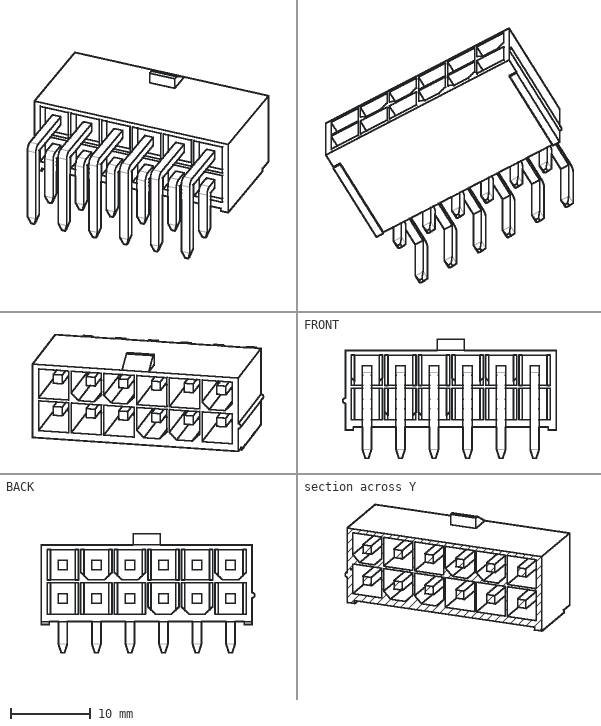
import cadquery as cq


PITCH = 4.2
COLUMNS = 6
CELL_WIDTH = 3.87
LOWER_CELL_HEIGHT = 3.9
UPPER_CELL_HEIGHT = 3.8
SHELF = 0.37

RIB_RADIUS = 0.32
RIB_Z = 3.7
BODY_WIDTH = 26.72 - RIB_RADIUS
BODY_DEPTH = 12.8
FOOT_HEIGHT = 0.37
FOOT_WIDTH = 1.02
FOOT_SETBACK = 1.87
FLOOR = 0.95
ROOF = 0.6
LOWER_CELL_Z = FOOT_HEIGHT + FLOOR
UPPER_CELL_Z = LOWER_CELL_Z + LOWER_CELL_HEIGHT + SHELF
BODY_HEIGHT = UPPER_CELL_Z + UPPER_CELL_HEIGHT + ROOF

BLOCK_WIDTH = 3.13
BLOCK_RECESS = 0.8
BLOCK_LENGTH = 2.95

KEY_BEVEL = 0.94
LOWER_KEYED_COLUMNS = (1, 2)
UPPER_KEYED_COLUMNS = (0, 3, 4)

LATCH_WIDTH = 3.42
LATCH_LENGTH = 3.02
LATCH_HEIGHT = 1.4
LATCH_FLAT = 0.55

PIN_SIZE = 1.15
PIN_BEND_RADIUS = 0.8
PIN_TIP_LENGTH = 1.12
PIN_TIP_SIZE = 0.43
PIN_DROP = 3.53
PIN_MATING_SETBACK = 2.4
LOWER_PIN_REACH = 1.7
UPPER_PIN_REACH = 7.15
LOWER_PIN_Z = LOWER_CELL_Z + LOWER_CELL_HEIGHT / 2
UPPER_PIN_Z = LOWER_PIN_Z + PITCH

COLUMN_X = [(i - (COLUMNS - 1) / 2) * PITCH for i in range(COLUMNS)]


def box(x_center, width, y_start, y_end, z_start, z_end):
    """Box centred on x_center, spanning the given Y and Z ranges."""
    return cq.Workplane("XY").box(
        width, y_end - y_start, z_end - z_start, centered=(True, False, False)
    ).translate((x_center, y_start, z_start))


def housing_shell():
    """Solid housing with two feet below and a half-round rib along the -X side."""
    shell = box(0, BODY_WIDTH, 0, BODY_DEPTH, FOOT_HEIGHT, BODY_HEIGHT)
    foot_x = (BODY_WIDTH - FOOT_WIDTH) / 2
    for x in (-foot_x, foot_x):
        shell = shell.union(box(x, FOOT_WIDTH, 0, BODY_DEPTH - FOOT_SETBACK, 0, FOOT_HEIGHT))
    rib = (
        cq.Workplane("XZ")
        .center(-BODY_WIDTH / 2, RIB_Z)
        .circle(RIB_RADIUS)
        .extrude(-BODY_DEPTH)
    )
    return shell.union(rib)


def latch():
    """Wedge rising from the mating face to a narrow flat and a square back."""
    profile = [
        (BODY_DEPTH, BODY_HEIGHT),
        (BODY_DEPTH - LATCH_LENGTH + LATCH_FLAT, BODY_HEIGHT + LATCH_HEIGHT),
        (BODY_DEPTH - LATCH_LENGTH, BODY_HEIGHT + LATCH_HEIGHT),
        (BODY_DEPTH - LATCH_LENGTH, BODY_HEIGHT),
    ]
    return cq.Workplane("YZ").polyline(profile).close().extrude(LATCH_WIDTH / 2, both=True)


def cell_cavity(x, z, height, keyed):
    """Through opening of one cell, less the pin block and any bevelled corners."""
    block_end = BLOCK_RECESS + BLOCK_LENGTH
    rear = box(x, CELL_WIDTH, 0, block_end, z, z + height)
    block = box(x, BLOCK_WIDTH, BLOCK_RECESS, block_end, z, z + height)
    socket = box(x, CELL_WIDTH, block_end, BODY_DEPTH, z, z + height)
    if keyed:
        socket = socket.edges("|Y and <Z").chamfer(KEY_BEVEL)
    return rear.cut(block).union(socket)


def pin(x, z, reach):
    """Square pin: level through the block, bent down behind the housing, with a tapered tip."""
    half = PIN_SIZE / 2
    shoulder_z = PIN_TIP_LENGTH - PIN_DROP
    level = box(x, PIN_SIZE, -reach, BODY_DEPTH - PIN_MATING_SETBACK, z - half, z + half)
    leg = box(x, PIN_SIZE, -reach, PIN_SIZE - reach, shoulder_z, z + half)
    bent = level.union(leg).edges("|X and <Y and >Z").fillet(PIN_BEND_RADIUS)
    tip = (
        cq.Workplane("XY", origin=(x, half - reach, shoulder_z))
        .rect(PIN_SIZE, PIN_SIZE)
        .workplane(offset=-PIN_TIP_LENGTH)
        .rect(PIN_TIP_SIZE, PIN_TIP_SIZE)
        .loft()
    )
    return bent.union(tip)


result = housing_shell().union(latch())
for column, x in enumerate(COLUMN_X):
    result = result.cut(cell_cavity(x, LOWER_CELL_Z, LOWER_CELL_HEIGHT, column in LOWER_KEYED_COLUMNS))
    result = result.cut(cell_cavity(x, UPPER_CELL_Z, UPPER_CELL_HEIGHT, column in UPPER_KEYED_COLUMNS))
for x in COLUMN_X:
    result = result.union(pin(x, LOWER_PIN_Z, LOWER_PIN_REACH))
    result = result.union(pin(x, UPPER_PIN_Z, UPPER_PIN_REACH))